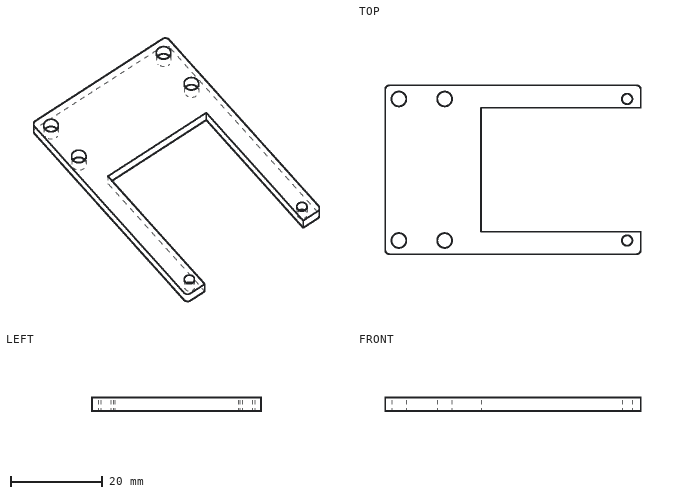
import cadquery as cq

length = 56.0
width = 37.0
thickness = 3.0
corner_radius = 1.0

base_length = 21.0
arm_width = 5.0
notch_length = length - base_length
notch_width = width - 2 * arm_width

hole_inset = 3.0
base_hole_spacing = 10.0
base_hole_diameter = 3.2
arm_hole_diameter = 2.25


def hole_row_pair(body, x_positions, diameter):
    """Drill through holes at each X position along both long edges."""
    y_offset = width / 2 - hole_inset
    points = [(x, side * y_offset) for x in x_positions for side in (-1, 1)]
    return body.faces(">Z").workplane(origin=(0, 0, 0)).pushPoints(points).hole(diameter)


plate = cq.Workplane("XY").box(length, width, thickness, centered=(False, True, False))
plate = plate.edges("|Z").fillet(corner_radius)

notch = (
    cq.Workplane("XY")
    .box(notch_length, notch_width, thickness, centered=(False, True, False))
    .translate((base_length, 0, 0))
)
plate = plate.cut(notch)

plate = hole_row_pair(plate, [hole_inset, hole_inset + base_hole_spacing], base_hole_diameter)
result = hole_row_pair(plate, [length - hole_inset], arm_hole_diameter)